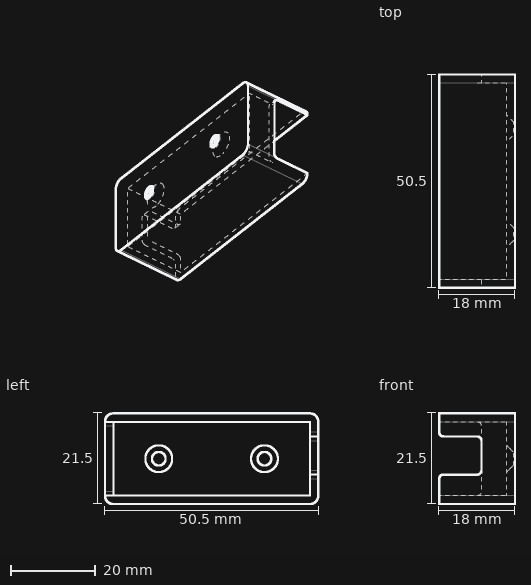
import cadquery as cq

width = 18.0
length = 50.5
height = 21.5
wall = 2.0
outer_radius = wall

opening_depth = 10.0
opening_radius = 1.0
slot_bottom = 7.0
slot_height = 9.0

hole_diameter = 3.2
countersink_diameter = 2 * hole_diameter
countersink_angle = 90
hole_spacing = 25.0

cavity_height = height - 2 * wall
open_face = -width / 2
floor_face = width / 2 - wall


def make_shell():
    """Block rounded along its X edges, with a sharp-cornered cavity."""
    block = cq.Workplane("XY").box(width, length, height).edges("|X").fillet(outer_radius)
    cavity = (
        cq.Workplane("XY")
        .box(width - wall, length - 2 * wall, cavity_height)
        .translate((-wall / 2, 0, 0))
    )
    return block.cut(cavity)


def make_end_opening(y_start, bottom, opening_height):
    """Cutter through one end wall, rounded at its inner corners."""
    return (
        cq.Workplane("XY")
        .box(opening_depth, wall, opening_height, centered=False)
        .edges("|Y and >X")
        .fillet(opening_radius)
        .translate((open_face, y_start, bottom))
    )


slot_z = slot_bottom - height / 2
front_slot = make_end_opening(-length / 2, slot_z, slot_height)
result = make_shell().cut(front_slot)
margin = 0.5
lip_selector = cq.selectors.BoxSelector(
    (open_face - margin, -length / 2 - margin, slot_z - margin),
    (open_face + margin, -length / 2 + wall + margin, slot_z + slot_height + margin),
)
result = result.edges("|Y").edges(lip_selector).fillet(opening_radius)

rear_opening = make_end_opening(length / 2 - wall, -cavity_height / 2, cavity_height)
result = result.cut(rear_opening)

result = (
    result.copyWorkplane(cq.Workplane("YZ", origin=(floor_face, 0, 0)))
    .transformed(rotate=(0, 180, 0))
    .pushPoints([(-hole_spacing / 2, 0), (hole_spacing / 2, 0)])
    .cskHole(hole_diameter, countersink_diameter, countersink_angle)
)